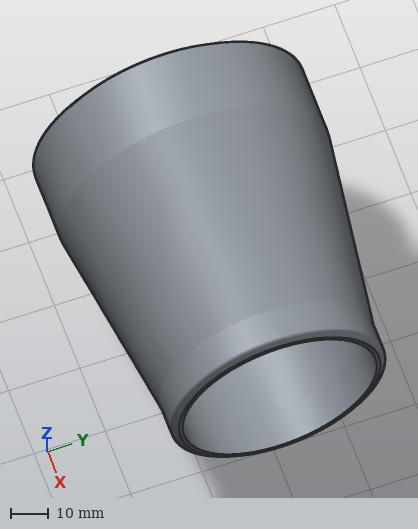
import cadquery as cq
import math

length = 90.0
wide_diameter = 76.1
wide_bore = 63.5
narrow_diameter = 60.3
narrow_bore = 54.5
cone_start = 22.9
cone_end = 80.0
bore_cone_start = 15.2

bevel_angle = 30.0
wide_land = 2.1
narrow_land = 1.0
bevel_round = 1.0

wide_radius = wide_diameter / 2
narrow_radius = narrow_diameter / 2
wide_bore_radius = wide_bore / 2
narrow_bore_radius = narrow_bore / 2


def bevel_depth(outer_radius, land_radius):
    """Axial length of a bevel from the land's rim to the full outer radius."""
    return (outer_radius - land_radius) * math.tan(math.radians(bevel_angle))


def round_bevel_edge(body, x, radius):
    """Round the circular edge where a bevel meets its cylinder."""
    margin = 0.01
    corner = cq.selectors.BoxSelector(
        (x - margin, -radius, -radius),
        (x + margin, radius, radius),
    )
    return body.edges(corner).fillet(bevel_round)


wide_land_radius = wide_bore_radius + wide_land
narrow_land_radius = narrow_bore_radius + narrow_land
wide_bevel_end = bevel_depth(wide_radius, wide_land_radius)
narrow_bevel_start = length - bevel_depth(narrow_radius, narrow_land_radius)

wall_section = [
    (0, wide_bore_radius),
    (0, wide_land_radius),
    (wide_bevel_end, wide_radius),
    (cone_start, wide_radius),
    (cone_end, narrow_radius),
    (narrow_bevel_start, narrow_radius),
    (length, narrow_land_radius),
    (length, narrow_bore_radius),
    (cone_end, narrow_bore_radius),
    (bore_cone_start, wide_bore_radius),
]
reducer = cq.Workplane("XZ").polyline(wall_section).close().revolve(360, (0, 0, 0), (1, 0, 0))

reducer = round_bevel_edge(reducer, wide_bevel_end, wide_radius)
reducer = round_bevel_edge(reducer, narrow_bevel_start, narrow_radius)

result = reducer